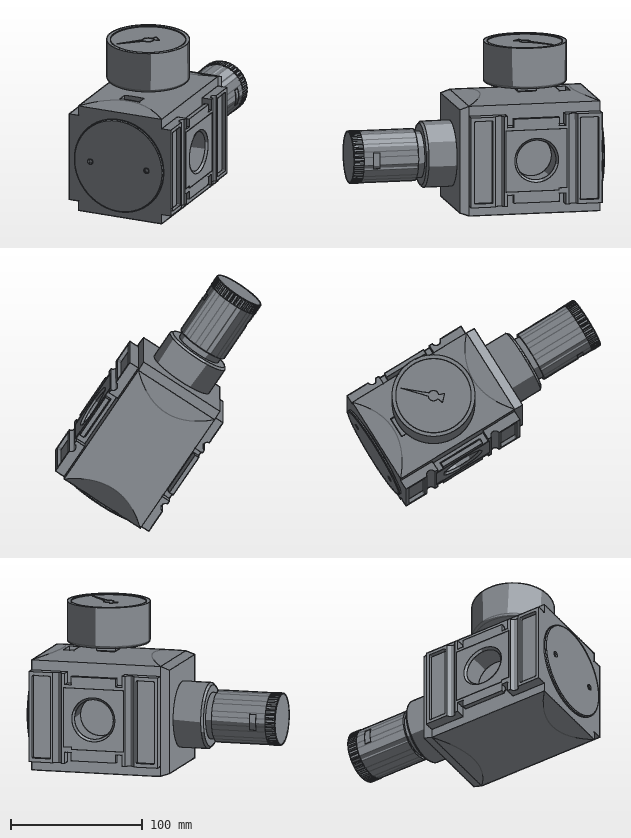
import cadquery as cq
import math


WIDTH = 85.0
LENGTH = 101.8
HALF_WIDTH = WIDTH / 2
HALF_LENGTH = LENGTH / 2
CORE_HALF_WIDTH = 34.8
FLANGE_HALF_HEIGHT = 34.8
EDGE_HEIGHT = 42.4
DOME_HEIGHT = 46.6
CREST_HALF_LENGTH = 35.7

GROOVE_RADIUS = 3.5
GROOVE_OFFSET = 28.6
GROOVE_DEPTH = 3.0

NOTCH_HALF_LENGTH = 22.5
NOTCH_FLOOR = 26.2
TAB_HALF_LENGTH = 17.5
TAB_HEIGHT = 32.5
TAB_TOP_THICKNESS = 3.5
TAB_BASE_THICKNESS = 5.2

POCKET_LENGTH = 14.3
POCKET_HALF_HEIGHT = 31.9
POCKET_OFFSET = 41.0
POCKET_DEPTH = 3.0
POCKET_CORNER = 1.0

PAD_HALF_SIZE = 23.7
PAD_DEPTH = 0.2
PAD_STEP_LENGTH = 6.5
PAD_STEP_HEIGHT = 1.7

PORT_RADIUS = 15.3
PORT_CHAMFER = 2.0
PORT_DEPTH = 18.1

SLOT_HALF_WIDTH = 8.0
SLOT_LENGTH = 8.2
SLOT_FRONT = -33.2
SLOT_FLOOR = 42.8

PLUG_NECK_RADIUS = 29.8
PLUG_NECK_LENGTH = 1.1
PLUG_RADIUS = 37.2
PLUG_THICKNESS = 2.0
PLUG_CHAMFER = 0.8
PLUG_HOLE_OFFSET = 23.5
PLUG_HOLE_RADIUS = 2.3
PLUG_HOLE_FLOOR_RADIUS = 1.5
PLUG_HOLE_DEPTH = 0.8
PLUG_FACE = -HALF_LENGTH - PLUG_NECK_LENGTH - PLUG_THICKNESS

TOTAL_LENGTH = 191.0
KNOB_END = PLUG_FACE + TOTAL_LENGTH
PLATE_END = 58.0
PLATE_END_HEIGHT = 40.0
BONNET_RADIUS = 25.2
BONNET_END = 81.5
BONNET_CHAMFER = 1.7
STEM_RADIUS = 17.8
KNOB_START = 86.7
KNURL_RADIUS = 20.0
GRIP_RADIUS = 19.9
KNOB_CHAMFER = 0.5
KNURL_LENGTH = 8.0
KNURL_START = KNOB_END - KNURL_LENGTH
KNURL_COUNT = 36
KNURL_ANGLE = 5.0
KNURL_DEPTH = 0.8
FLUTE_COUNT = 12
FLUTE_ANGLE = 12.0
FLUTE_DEPTH = 0.29
WINDOW_START = 116.7
WINDOW_LENGTH = 5.0
WINDOW_HALF_WIDTH = 6.1
WINDOW_DEPTH = 0.4

GAUGE_RADIUS = 31.5
GAUGE_TOP = 84.6
GAUGE_BOTTOM = 53.1
GAUGE_FILLET = 1.7
DIAL_RADIUS = 28.6
DIAL_DEPTH = 0.8
SHANK_WIDTH = 14.7
SEAT_DEPTH = 0.2
SHANK_FOOT = DOME_HEIGHT - SEAT_DEPTH
SHANK_CHAMFER = 0.8
NEEDLE_THICKNESS = 0.4
NEEDLE_ANGLE = 45.0
NEEDLE_TIP = 25.2
NEEDLE_BEND = 8.8
NEEDLE_BEND_HALF_WIDTH = 1.0
NEEDLE_WAIST_HALF_WIDTH = 1.7
HUB_RADIUS = 4.0
TAIL_LENGTH = 7.8
TAIL_HALF_WIDTH = 3.6


def box_between(x_range, y_range, z_range):
    """Box from its limits along the three axes."""
    corner = cq.Vector(x_range[0], y_range[0], z_range[0])
    size = cq.Vector(x_range[1], y_range[1], z_range[1]) - corner
    return cq.Workplane(cq.Solid.makeBox(size.x, size.y, size.z, corner))


def cylinder_along_y(radius, y_start, y_end):
    return cq.Workplane("XZ", origin=(0, y_start, 0)).circle(radius).extrude(y_start - y_end)


def around_y(cutter, count):
    """One compound of cutters spaced evenly about the Y axis."""
    solid = cutter.val()
    copies = [solid.rotate((0, 0, 0), (0, 1, 0), i * 360 / count) for i in range(count)]
    return cq.Workplane(cq.Compound.makeCompound(copies))


def point_at(radius, degrees):
    """Point on a circle, with the angle measured from the second axis of the plane."""
    angle = math.radians(degrees)
    return radius * math.sin(angle), radius * math.cos(angle)


def make_core():
    """Central block, domed above and below, with sloping ends on the domes."""
    domed = (
        cq.Workplane("XZ")
        .moveTo(-CORE_HALF_WIDTH, -EDGE_HEIGHT)
        .lineTo(-CORE_HALF_WIDTH, EDGE_HEIGHT)
        .threePointArc((0, DOME_HEIGHT), (CORE_HALF_WIDTH, EDGE_HEIGHT))
        .lineTo(CORE_HALF_WIDTH, -EDGE_HEIGHT)
        .threePointArc((0, -DOME_HEIGHT), (-CORE_HALF_WIDTH, -EDGE_HEIGHT))
        .close()
        .extrude(HALF_LENGTH, both=True)
    )
    sloped = (
        cq.Workplane("YZ")
        .polyline([
            (-HALF_LENGTH, -EDGE_HEIGHT),
            (-HALF_LENGTH, EDGE_HEIGHT),
            (-CREST_HALF_LENGTH, DOME_HEIGHT),
            (CREST_HALF_LENGTH, DOME_HEIGHT),
            (HALF_LENGTH, EDGE_HEIGHT),
            (HALF_LENGTH, -EDGE_HEIGHT),
            (CREST_HALF_LENGTH, -DOME_HEIGHT),
            (-CREST_HALF_LENGTH, -DOME_HEIGHT),
        ])
        .close()
        .extrude(CORE_HALF_WIDTH, both=True)
    )
    return domed.intersect(sloped)


def make_notch():
    """Recess in the upper end of the -X flange, around a tab with a sloping back."""
    recess = box_between(
        (-HALF_WIDTH, -CORE_HALF_WIDTH),
        (-NOTCH_HALF_LENGTH, NOTCH_HALF_LENGTH),
        (NOTCH_FLOOR, FLANGE_HALF_HEIGHT),
    )
    tab = (
        cq.Workplane("XZ")
        .polyline([
            (-HALF_WIDTH, NOTCH_FLOOR),
            (-HALF_WIDTH, TAB_HEIGHT),
            (-HALF_WIDTH + TAB_TOP_THICKNESS, TAB_HEIGHT),
            (-HALF_WIDTH + TAB_BASE_THICKNESS, NOTCH_FLOOR),
        ])
        .close()
        .extrude(TAB_HALF_LENGTH, both=True)
    )
    return recess.cut(tab)


def make_port_pad():
    """Shallow square recess around the -X port, with one stepped corner."""
    square = box_between(
        (-HALF_WIDTH, -HALF_WIDTH + PAD_DEPTH),
        (-PAD_HALF_SIZE, PAD_HALF_SIZE),
        (-PAD_HALF_SIZE, PAD_HALF_SIZE),
    )
    step = box_between(
        (-HALF_WIDTH, -HALF_WIDTH + PAD_DEPTH),
        (-PAD_HALF_SIZE, -PAD_HALF_SIZE + PAD_STEP_LENGTH),
        (-PAD_HALF_SIZE, -PAD_HALF_SIZE + PAD_STEP_HEIGHT),
    )
    return square.cut(step)


def make_port():
    """Blind bore of the -X port with its chamfered mouth."""
    floor = -HALF_WIDTH + PORT_DEPTH
    mouth_end = -HALF_WIDTH + PORT_CHAMFER
    return (
        cq.Workplane("XY")
        .polyline([
            (-HALF_WIDTH, 0),
            (-HALF_WIDTH, PORT_RADIUS + PORT_CHAMFER),
            (mouth_end, PORT_RADIUS),
            (floor, PORT_RADIUS),
            (floor, 0),
        ])
        .close()
        .revolve(360, (0, 0, 0), (1, 0, 0))
    )


def make_flange():
    """Flange on the -X side of the core, with everything cut into it except the port."""
    flange = box_between(
        (-HALF_WIDTH, -CORE_HALF_WIDTH),
        (-HALF_LENGTH, HALF_LENGTH),
        (-FLANGE_HALF_HEIGHT, FLANGE_HALF_HEIGHT),
    )
    groove_axis = -HALF_WIDTH + GROOVE_DEPTH - GROOVE_RADIUS
    grooves = (
        cq.Workplane("XY")
        .pushPoints([(groove_axis, -GROOVE_OFFSET), (groove_axis, GROOVE_OFFSET)])
        .circle(GROOVE_RADIUS)
        .extrude(FLANGE_HALF_HEIGHT, both=True)
    )
    pockets = (
        cq.Workplane("YZ", origin=(-HALF_WIDTH, 0, 0))
        .pushPoints([(-POCKET_OFFSET, 0), (POCKET_OFFSET, 0)])
        .rect(POCKET_LENGTH, 2 * POCKET_HALF_HEIGHT)
        .extrude(POCKET_DEPTH)
        .edges("|X")
        .fillet(POCKET_CORNER)
    )
    notch = make_notch()
    flange = flange.cut(grooves).cut(pockets)
    return flange.cut(notch).cut(notch.mirror("XY")).cut(make_port_pad())


def make_plug():
    """Round plug on a narrower neck, with two conical spanner holes."""
    neck_end = -HALF_LENGTH - PLUG_NECK_LENGTH
    neck = cylinder_along_y(PLUG_NECK_RADIUS, neck_end, -HALF_LENGTH)
    disc = cylinder_along_y(PLUG_RADIUS, PLUG_FACE, neck_end).faces("<Y").chamfer(PLUG_CHAMFER)
    plug = neck.union(disc)
    for x in (-PLUG_HOLE_OFFSET, PLUG_HOLE_OFFSET):
        hole = cq.Solid.makeCone(
            PLUG_HOLE_RADIUS,
            PLUG_HOLE_FLOOR_RADIUS,
            PLUG_HOLE_DEPTH,
            cq.Vector(x, PLUG_FACE, 0),
            cq.Vector(0, 1, 0),
        )
        plug = plug.cut(cq.Workplane(hole))
    return plug


def make_housing(gauge):
    flange = make_flange()
    port = make_port()
    slot = box_between(
        (-SLOT_HALF_WIDTH, SLOT_HALF_WIDTH),
        (SLOT_FRONT, SLOT_FRONT + SLOT_LENGTH),
        (SLOT_FLOOR, DOME_HEIGHT),
    )
    body = make_core().union(flange).union(flange.mirror("YZ"))
    body = body.cut(port).cut(port.mirror("YZ")).cut(slot)
    return body.union(make_plug()).cut(gauge)


def make_knob():
    """Fluted grip with a knurled end and a shallow window on each side."""
    grip = cylinder_along_y(GRIP_RADIUS, KNOB_START, KNURL_START)
    head = cylinder_along_y(KNURL_RADIUS, KNURL_START, KNOB_END).faces(">Y").chamfer(KNOB_CHAMFER)
    knob = grip.union(head)

    half_knurl = KNURL_ANGLE / 2
    knurl = (
        cq.Workplane("XZ", origin=(0, KNURL_START, 0))
        .polyline([
            point_at(KNURL_RADIUS, -half_knurl),
            (0, KNURL_RADIUS - KNURL_DEPTH),
            point_at(KNURL_RADIUS, half_knurl),
            (0, KNURL_RADIUS + KNURL_DEPTH),
        ])
        .close()
        .extrude(-KNURL_LENGTH)
    )

    half_pitch = 180 / FLUTE_COUNT
    half_flute = FLUTE_ANGLE / 2
    flute = (
        cq.Workplane("XZ", origin=(0, KNOB_START, 0))
        .moveTo(*point_at(GRIP_RADIUS, half_pitch - half_flute))
        .threePointArc(
            point_at(GRIP_RADIUS - FLUTE_DEPTH, half_pitch),
            point_at(GRIP_RADIUS, half_pitch + half_flute),
        )
        .lineTo(*point_at(GRIP_RADIUS + FLUTE_DEPTH, half_pitch))
        .close()
        .extrude(KNOB_START - KNURL_START)
    )

    window_end = WINDOW_START + WINDOW_LENGTH
    windows = box_between(
        (-GRIP_RADIUS, GRIP_RADIUS),
        (WINDOW_START, window_end),
        (-WINDOW_HALF_WIDTH, WINDOW_HALF_WIDTH),
    ).cut(cylinder_along_y(GRIP_RADIUS - WINDOW_DEPTH, WINDOW_START, window_end))

    return knob.cut(around_y(knurl, KNURL_COUNT)).cut(around_y(flute, FLUTE_COUNT)).cut(windows)


def make_bonnet():
    """Tapered plate on the housing, round bonnet, stem and knob."""
    plate = (
        cq.Workplane("YZ")
        .polyline([
            (HALF_LENGTH, -EDGE_HEIGHT),
            (HALF_LENGTH, EDGE_HEIGHT),
            (PLATE_END, PLATE_END_HEIGHT),
            (PLATE_END, -PLATE_END_HEIGHT),
        ])
        .close()
        .extrude(CORE_HALF_WIDTH, both=True)
    )
    dome = cylinder_along_y(BONNET_RADIUS, PLATE_END, BONNET_END)
    dome = dome.faces(">Y").chamfer(BONNET_CHAMFER)
    stem = cylinder_along_y(STEM_RADIUS, BONNET_END, KNOB_START)
    return plate.union(dome).union(stem).union(make_knob())


def make_needle():
    """Gauge needle lying on the dial: slim pointer, round hub and flared tail."""
    dial = GAUGE_TOP - DIAL_DEPTH
    outline = [
        (-NEEDLE_TIP, 0),
        (-NEEDLE_BEND, NEEDLE_BEND_HALF_WIDTH),
        (0, NEEDLE_WAIST_HALF_WIDTH),
        (HUB_RADIUS, NEEDLE_WAIST_HALF_WIDTH),
        (TAIL_LENGTH, TAIL_HALF_WIDTH),
        (TAIL_LENGTH, -TAIL_HALF_WIDTH),
        (HUB_RADIUS, -NEEDLE_WAIST_HALF_WIDTH),
        (0, -NEEDLE_WAIST_HALF_WIDTH),
        (-NEEDLE_BEND, -NEEDLE_BEND_HALF_WIDTH),
    ]
    plane = cq.Workplane("XY", origin=(0, 0, dial))
    needle = plane.polyline(outline).close().extrude(NEEDLE_THICKNESS)
    needle = needle.union(plane.circle(HUB_RADIUS).extrude(NEEDLE_THICKNESS))
    return needle.rotate((0, 0, 0), (0, 0, 1), NEEDLE_ANGLE)


def make_gauge():
    """Round gauge case with a sunk dial, on a square shank."""
    case = (
        cq.Workplane("XY", origin=(0, 0, GAUGE_BOTTOM))
        .circle(GAUGE_RADIUS)
        .extrude(GAUGE_TOP - GAUGE_BOTTOM)
        .faces("<Z")
        .edges()
        .fillet(GAUGE_FILLET)
    )
    dial = (
        cq.Workplane("XY", origin=(0, 0, GAUGE_TOP))
        .circle(DIAL_RADIUS)
        .extrude(-DIAL_DEPTH)
    )
    shank = (
        cq.Workplane("XY", origin=(0, 0, SHANK_FOOT))
        .rect(SHANK_WIDTH, SHANK_WIDTH)
        .extrude(GAUGE_BOTTOM - SHANK_FOOT)
        .faces("<Z")
        .chamfer(SHANK_CHAMFER)
    )
    return case.cut(dial).union(shank).union(make_needle())


gauge = make_gauge()
housing = make_housing(gauge)
bonnet = make_bonnet()

result = cq.Compound.makeCompound([housing.val(), bonnet.val(), gauge.val()])